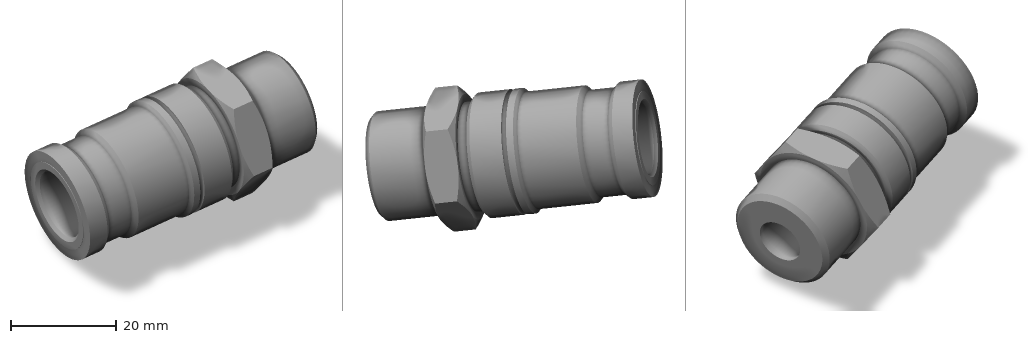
import cadquery as cq
import math

length = 53.0
hex_across_flats = 24.0

collar_radius = hex_across_flats / 2
body_radius = 11.25
neck_radius = 10.3
barrel_radius = 10.5

ring_projection = 0.1
flange_end = 4.1
neck_start = 5.2
neck_end = 10.2
body_start = 11.15
body_end = 22.65
rib_start = 23.3
rib_end = 24.7
collar_start = 25.65
collar_end = 32.7
hex_start = 34.6
hex_end = 41.0
collar_chamfer = 0.8
barrel_chamfer = 1.0

groove_depth = 0.75

bore_radius = 4.5
mouth_radius = 6.85
mouth_depth = 15.9
mouth_chamfer = 0.65
ring_outer_radius = 9.0

hex_chamfer_angle = math.radians(30)


def revolve_profile(points):
    """Revolve a closed outline of (radius, station) points about the Y axis."""
    outline = cq.Workplane("XY").polyline(points).close()
    return outline.revolve(360, (0, 0, 0), (0, 1, 0))


def make_outer_body():
    return revolve_profile([
        (0, 0),
        (ring_outer_radius, 0),
        (ring_outer_radius, ring_projection),
        (body_radius, ring_projection),
        (body_radius, flange_end),
        (neck_radius, neck_start),
        (neck_radius, neck_end),
        (body_radius, body_start),
        (body_radius, body_end),
        (collar_radius, rib_start),
        (collar_radius, rib_end),
        (collar_radius, collar_end - collar_chamfer),
        (collar_radius - collar_chamfer, collar_end),
        (barrel_radius, collar_end),
        (barrel_radius, length - barrel_chamfer),
        (barrel_radius - barrel_chamfer, length),
        (0, length),
    ])


def make_groove():
    round_radius = (collar_start - rib_end) / 2
    bottom_radius = collar_radius - groove_depth
    wall_radius = bottom_radius + round_radius
    outline = (
        cq.Workplane("XY")
        .moveTo(collar_radius, rib_end)
        .lineTo(wall_radius, rib_end)
        .threePointArc((bottom_radius, rib_end + round_radius), (wall_radius, collar_start))
        .lineTo(collar_radius, collar_start)
        .close()
    )
    return outline.revolve(360, (0, 0, 0), (0, 1, 0))


def make_hexagon():
    corner_radius = hex_across_flats / 2 / math.cos(math.pi / 6)
    chamfer_depth = (corner_radius - collar_radius) * math.tan(hex_chamfer_angle)
    prism = (
        cq.Workplane("XZ", origin=(0, hex_start, 0))
        .polygon(6, 2 * corner_radius)
        .extrude(hex_start - hex_end)
    )
    chamfer_envelope = revolve_profile([
        (0, hex_start),
        (collar_radius, hex_start),
        (corner_radius, hex_start + chamfer_depth),
        (corner_radius, hex_end - chamfer_depth),
        (collar_radius, hex_end),
        (0, hex_end),
    ])
    return prism.intersect(chamfer_envelope)


def make_bore():
    return revolve_profile([
        (0, 0),
        (mouth_radius + mouth_chamfer, 0),
        (mouth_radius, mouth_chamfer),
        (mouth_radius, mouth_depth),
        (bore_radius, mouth_depth),
        (bore_radius, length),
        (0, length),
    ])


result = make_outer_body().union(make_hexagon()).cut(make_groove()).cut(make_bore())